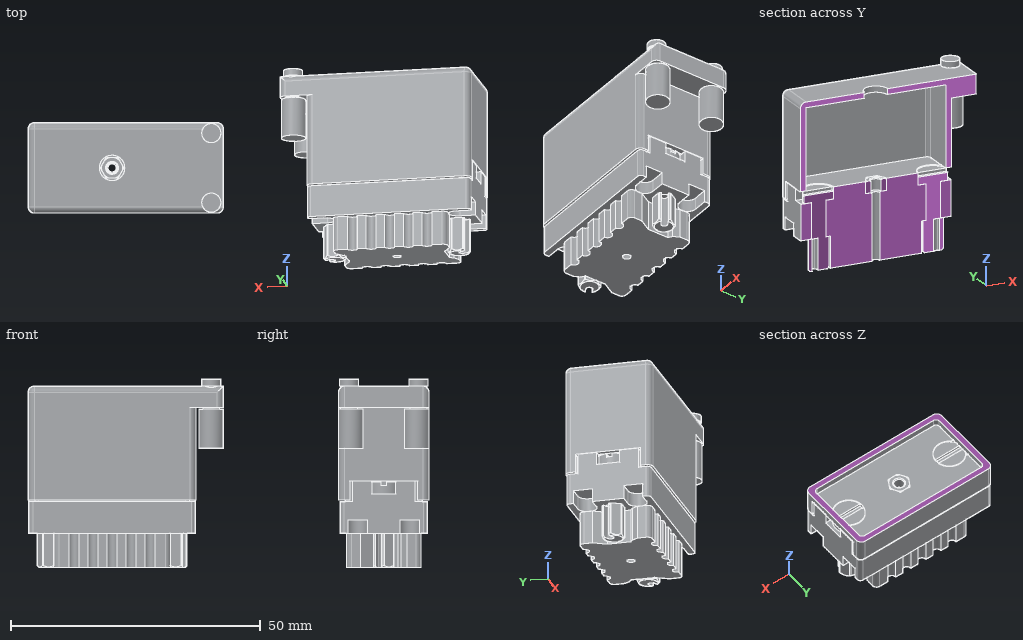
import cadquery as cq
import math

COVER_HALF_X = 16.82
COVER_HALF_Y = 9.08
COVER_BOTTOM = 13.55
COVER_TOP = 36.4
COVER_ROUND = 1.25
WALL = 1.33
FLANGE_END_X = 22.3
FLANGE_BOTTOM = 32.05
CUTOUT_HALF_Y = 6.75
CUTOUT_TOP = 17.33
TOP_HOLE_R = 2.55

BASE_HALF_X = 16.7
BASE_HALF_Y = 8.75
BASE_BOTTOM = 6.85
BASE_SHOULDER = 13.22
BASE_ROUND = 0.82
TONGUE_HALF_Y = 6.3
LIP_HALF_X = COVER_HALF_X - WALL
LIP_HALF_Y = COVER_HALF_Y - WALL
LIP_ROUND = 0.8
NOTCH_Y = 5.25
NOTCH_R = 1.95
NOTCH_TOP = 9.6
NOTCH_DEPTH = 3.13
SEAT_Z = 14.75
WINDOW_HALF_Y = 2.4

BLOCK_HALF_X = 11.7
BLOCK_HALF_Y = 7.5
BLOCK_ROUND = 1.0
FLUTE_COUNT = 5
FLUTE_PITCH = 3.815
FLUTE_R = 0.998
POCKET_DEPTH = 1.55
POCKET_HALF_Y = 4.7
POCKET_SLOPE = math.tan(math.radians(30))
POCKET_FLOOR_Y = -2.85
POCKET_STEP_Y = -3.45

HEX_FLATS = 4.1
HEX_CORNER_R = 2.3

PIN_X = 12.7
PIN_TIP_R = 1.9
PIN_SHANK_R = 1.55
PIN_HEAD_R = 3.3
PIN_HEAD_TOP = 17.15
SLOT_WIDTH = 1.15
SLOT_DEPTH = 0.7
KEYWAY_WIDTH = 1.4
KEYWAY_CENTRE_R = 0.85
KEYWAY_ANGLE = 150.0

NUT_BORE_R = 1.1
NUT_BORE_CHAMFER = 0.2
CENTRE_HOLE_R = 0.82

SCREW_X = 19.87
SCREW_Y = 6.95
SCREW_HEAD_R = 1.9
SCREW_TOP = 37.75
SCREW_NECK_R = 1.7
SLEEVE_X = 19.85
SLEEVE_Y = 6.6
SLEEVE_R = 2.45
SLEEVE_TOP = 31.73
SLEEVE_BOTTOM = 23.85


def box(x0, x1, half_y, z0, z1):
    """Box from x0 to x1 and z0 to z1, centred on Y."""
    return cq.Workplane("XY").box(x1 - x0, 2 * half_y, z1 - z0, centered=False).translate((x0, -half_y, z0))


def cylinder(x, y, radius, z0, z1):
    return cq.Workplane("XY", origin=(x, y, z0)).circle(radius).extrude(z1 - z0)


def hexagon_bar(z0, z1):
    """Hexagonal bar on the Z axis with flats facing -Y and +Y and turned-down corners."""
    full_corner_diameter = HEX_FLATS / math.cos(math.radians(30))
    bar = cq.Workplane("XY", origin=(0, 0, z0)).polygon(6, full_corner_diameter).extrude(z1 - z0)
    return bar.intersect(cylinder(0, 0, HEX_CORNER_R, z0, z1))


def make_screw(y_side):
    """Captive screw: flat head, neck through the flange, wide sleeve below it."""
    y = y_side * SCREW_Y
    head = cylinder(SCREW_X, y, SCREW_HEAD_R, COVER_TOP, SCREW_TOP)
    neck = cylinder(SCREW_X, y, SCREW_NECK_R, SLEEVE_TOP, COVER_TOP)
    sleeve = cylinder(SLEEVE_X, y_side * SLEEVE_Y, SLEEVE_R, SLEEVE_BOTTOM, SLEEVE_TOP)
    return sleeve.union(neck).union(head)


def make_cover():
    hood = box(-COVER_HALF_X, FLANGE_END_X, COVER_HALF_Y, COVER_BOTTOM, COVER_TOP)
    hood = hood.edges("(<X and |Z) or (<X and >Z) or (|X and >Z)").fillet(COVER_ROUND)
    plan = box(-COVER_HALF_X, FLANGE_END_X, COVER_HALF_Y, FLANGE_BOTTOM, COVER_TOP)
    plan = plan.edges(">X and |Z").fillet(COVER_ROUND)
    body_plan = box(-COVER_HALF_X, COVER_HALF_X, COVER_HALF_Y, COVER_BOTTOM, FLANGE_BOTTOM)
    body_plan = body_plan.edges(">X and |Z").fillet(COVER_ROUND)
    cover = hood.intersect(plan.union(body_plan))

    cavity = box(-LIP_HALF_X, LIP_HALF_X, LIP_HALF_Y, COVER_BOTTOM, COVER_TOP - WALL)
    cover = cover.cut(cavity.edges("|Z").fillet(LIP_ROUND))
    cover = cover.cut(box(-COVER_HALF_X, COVER_HALF_X, CUTOUT_HALF_Y, COVER_BOTTOM, CUTOUT_TOP))
    cover = cover.cut(cylinder(0, 0, TOP_HOLE_R, COVER_TOP - WALL, COVER_TOP))
    for y_side in (-1, 1):
        cover = cover.cut(cylinder(SCREW_X, y_side * SCREW_Y, SCREW_NECK_R, FLANGE_BOTTOM, COVER_TOP))
    return cover


def make_end_pocket():
    """Pocket in the -X end of the contact block, sloped at both sides and stepped on the -Y side."""
    mouth_x = -BLOCK_HALF_X
    floor_x = mouth_x + POCKET_DEPTH
    step_x = mouth_x + (POCKET_HALF_Y + POCKET_STEP_Y) * POCKET_SLOPE
    slope_end_y = POCKET_HALF_Y - POCKET_DEPTH / POCKET_SLOPE
    outline = [
        (mouth_x, POCKET_HALF_Y),
        (floor_x, slope_end_y),
        (floor_x, POCKET_FLOOR_Y),
        (step_x, POCKET_STEP_Y),
        (mouth_x, -POCKET_HALF_Y),
    ]
    return cq.Workplane("XY").polyline(outline).close().extrude(BASE_BOTTOM)


def make_contact_block():
    block = box(-BLOCK_HALF_X, BLOCK_HALF_X, BLOCK_HALF_Y, 0, BASE_BOTTOM)
    block = block.edges("|Z").fillet(BLOCK_ROUND)
    for index in range(FLUTE_COUNT):
        x = (index - (FLUTE_COUNT - 1) / 2) * FLUTE_PITCH
        for y in (-BLOCK_HALF_Y, BLOCK_HALF_Y):
            block = block.cut(cylinder(x, y, FLUTE_R, 0, BASE_BOTTOM))
    pocket = make_end_pocket()
    for angle in (0, 180):
        block = block.cut(pocket.rotate((0, 0, 0), (0, 0, 1), angle))
    return block


def make_end_notch(x_side, y):
    """Round-ended notch, open at the end face and at the bottom of the base."""
    inner_x = x_side * (BASE_HALF_X - NOTCH_DEPTH)
    end_x = x_side * BASE_HALF_X
    straight = box(min(inner_x, end_x), max(inner_x, end_x), NOTCH_R, BASE_BOTTOM, NOTCH_TOP)
    return straight.translate((0, y, 0)).union(cylinder(inner_x, y, NOTCH_R, BASE_BOTTOM, NOTCH_TOP))


def make_nut_blank():
    return hexagon_bar(SEAT_Z, CUTOUT_TOP)


def make_base():
    base = box(-BASE_HALF_X, BASE_HALF_X, BASE_HALF_Y, BASE_BOTTOM, BASE_SHOULDER)
    base = base.edges("|Z").fillet(BASE_ROUND)
    for x_side in (-1, 1):
        for y_side in (-1, 1):
            base = base.cut(make_end_notch(x_side, y_side * NOTCH_Y))
    lip = box(-LIP_HALF_X, LIP_HALF_X, LIP_HALF_Y, BASE_SHOULDER, CUTOUT_TOP).edges("|Z").fillet(LIP_ROUND)
    tongues = box(-BASE_HALF_X, BASE_HALF_X, TONGUE_HALF_Y, BASE_SHOULDER, CUTOUT_TOP)
    base = base.union(lip).union(tongues).union(make_contact_block())

    for x_side in (-1, 1):
        pin_x = x_side * PIN_X
        end_x = x_side * BASE_HALF_X
        base = base.cut(cylinder(pin_x, 0, PIN_HEAD_R, SEAT_Z, CUTOUT_TOP))
        base = base.cut(cylinder(pin_x, 0, PIN_SHANK_R, BASE_BOTTOM, SEAT_Z))
        base = base.cut(box(min(pin_x, end_x), max(pin_x, end_x), WINDOW_HALF_Y, SEAT_Z, CUTOUT_TOP))

    base = base.cut(make_nut_blank())
    base = base.cut(cylinder(0, 0, CENTRE_HOLE_R, 0, SEAT_Z))
    countersink_depth = NUT_BORE_R - CENTRE_HOLE_R
    countersink = cq.Solid.makeCone(
        CENTRE_HOLE_R, NUT_BORE_R, countersink_depth, pnt=cq.Vector(0, 0, SEAT_Z - countersink_depth)
    )
    return base.cut(cq.Workplane(countersink))


def make_guide_pin():
    """Guide pin at the -X end: slotted head, round shank and chamfered hexagonal tip with a keyway."""
    chamfer_envelope = cylinder(0, 0, HEX_CORNER_R, 0, BASE_BOTTOM)
    chamfer_envelope = chamfer_envelope.faces("<Z").chamfer(HEX_CORNER_R - PIN_TIP_R)
    tip = hexagon_bar(0, BASE_BOTTOM).intersect(chamfer_envelope)

    keyway = cylinder(KEYWAY_CENTRE_R, 0, KEYWAY_WIDTH / 2, 0, BASE_BOTTOM)
    keyway = keyway.union(box(KEYWAY_CENTRE_R, HEX_CORNER_R, KEYWAY_WIDTH / 2, 0, BASE_BOTTOM))
    tip = tip.cut(keyway.rotate((0, 0, 0), (0, 0, 1), KEYWAY_ANGLE))

    shank = cylinder(0, 0, PIN_SHANK_R, BASE_BOTTOM, SEAT_Z)
    head = cylinder(0, 0, PIN_HEAD_R, SEAT_Z, PIN_HEAD_TOP)
    slot = box(-PIN_HEAD_R, PIN_HEAD_R, SLOT_WIDTH / 2, PIN_HEAD_TOP - SLOT_DEPTH, PIN_HEAD_TOP)
    return tip.union(shank).union(head.cut(slot)).translate((-PIN_X, 0, 0))


def make_nut():
    nut = make_nut_blank().cut(cylinder(0, 0, NUT_BORE_R, SEAT_Z, CUTOUT_TOP))
    return nut.faces(">Z").edges("%CIRCLE").chamfer(NUT_BORE_CHAMFER)


cover = make_cover()
base = make_base()
nut = make_nut()
screws = [make_screw(y_side) for y_side in (-1, 1)]
guide_pins = [make_guide_pin().rotate((0, 0, 0), (0, 0, 1), angle) for angle in (0, 180)]

bodies = [cover, base, nut, *screws, *guide_pins]
result = cq.Compound.makeCompound([body.solids().val() for body in bodies])